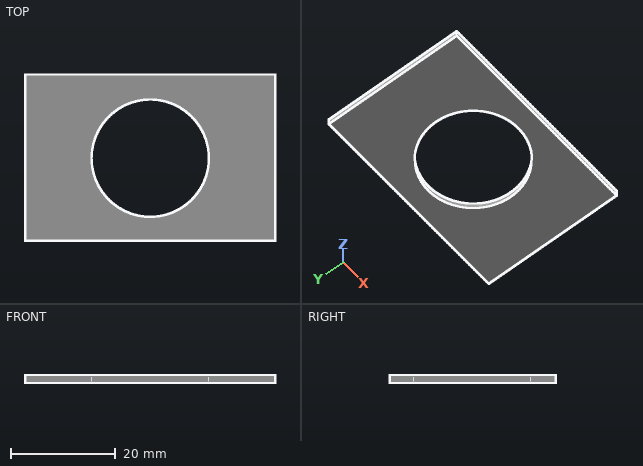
import cadquery as cq

plate_length = 47.75
plate_width = 31.75
plate_thickness = 1.57
hole_diameter = 22.35
hole_offset_y = -0.127

plate = cq.Workplane("XY").box(plate_length, plate_width, plate_thickness)

result = plate.faces(">Z").workplane().center(0, hole_offset_y).hole(hole_diameter)